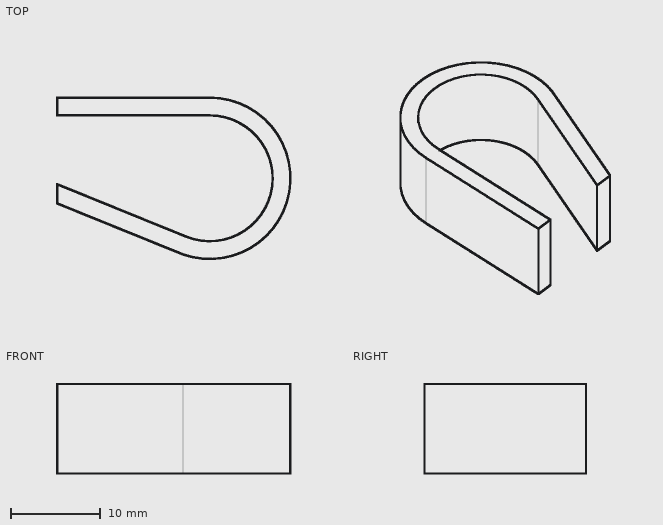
import cadquery as cq
import math

length = 26.0
height = 10.0
outer_radius = 9.0
thickness = 2.0
arm_angle = 22.1
outer_joint_x = -2.97

inner_radius = outer_radius - thickness
arm_end_x = outer_radius - length
tilt = math.radians(arm_angle)


def tangent_point(radius):
    """Point where the tilted arm runs tangentially into the loop."""
    return (-radius * math.sin(tilt), -radius * math.cos(tilt))


def arm_end_point(radius):
    """Point of the tilted arm on the plane that cuts off both arms."""
    x, y = tangent_point(radius)
    return (arm_end_x, y + (x - arm_end_x) * math.tan(tilt))


outer_joint = (outer_joint_x, -math.sqrt(outer_radius**2 - outer_joint_x**2))

result = (
    cq.Workplane("XY")
    .moveTo(arm_end_x, outer_radius)
    .lineTo(0, outer_radius)
    .threePointArc((outer_radius, 0), outer_joint)
    .lineTo(*arm_end_point(outer_radius))
    .lineTo(*arm_end_point(inner_radius))
    .lineTo(*tangent_point(inner_radius))
    .threePointArc((inner_radius, 0), (0, inner_radius))
    .lineTo(arm_end_x, inner_radius)
    .close()
    .extrude(height)
)